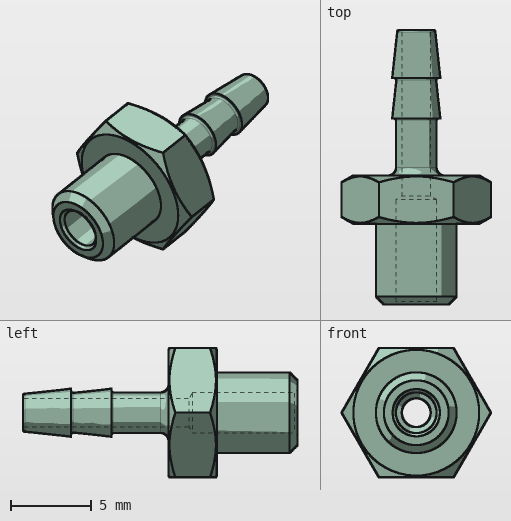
import cadquery as cq
import math

total_length = 17.0
spigot_length = 5.0
spigot_radius = 2.5
spigot_chamfer = 0.5
hex_thickness = 3.0
hex_across_flats = 8.0
hex_face_radius = 3.9
hex_chamfer_angle = 30.0
stem_radius = 1.25
stem_root_fillet = 0.5

barb_radius = 1.5
front_barb_length = 3.0
rear_barb_length = 2.5
barb_taper_angle = 6.2
barb_root_fillet = 0.1
tip_fillet = 0.17

passage_radius = 0.88
bore_radius = 1.25
bore_depth = 6.5
bore_chamfer = 0.2
drill_point_angle = 118.0

spigot_end = -total_length / 2
hex_back = spigot_end + spigot_length
hex_front = hex_back + hex_thickness
tip_end = total_length / 2
front_barb_back = tip_end - front_barb_length
rear_barb_back = front_barb_back - rear_barb_length

barb_taper = math.tan(math.radians(barb_taper_angle))
barb_neck_radius = barb_radius - (rear_barb_length - barb_root_fillet) * barb_taper


def revolve_about_y(profile):
    return profile.close().revolve(360, (0, 0, 0), (0, 1, 0))


def cylinder_along_y(radius, start, end):
    return revolve_about_y(
        cq.Workplane("XY").moveTo(0, start).lineTo(radius, start).lineTo(radius, end).lineTo(0, end)
    )


def make_spigot():
    spigot = cylinder_along_y(spigot_radius, spigot_end, hex_back)
    return spigot.faces("<Y").chamfer(spigot_chamfer)


def make_hex():
    """Hexagon with corners on X, cut back by a cone on both end faces."""
    corner_radius = hex_across_flats / 2 / math.cos(math.radians(30))
    chamfer_drop = (corner_radius - hex_face_radius) * math.tan(math.radians(hex_chamfer_angle))
    prism = (
        cq.Workplane("XZ", origin=(0, hex_front, 0))
        .polygon(6, 2 * corner_radius)
        .extrude(hex_thickness)
    )
    envelope = revolve_about_y(
        cq.Workplane("XY")
        .moveTo(0, hex_back)
        .lineTo(hex_face_radius, hex_back)
        .lineTo(corner_radius, hex_back + chamfer_drop)
        .lineTo(corner_radius, hex_front - chamfer_drop)
        .lineTo(hex_face_radius, hex_front)
        .lineTo(0, hex_front)
    )
    return prism.intersect(envelope)


def make_stem():
    """Plain stem that flares into the hexagon through a concave fillet."""
    return revolve_about_y(
        cq.Workplane("XY")
        .moveTo(0, hex_front)
        .lineTo(stem_radius + stem_root_fillet, hex_front)
        .radiusArc((stem_radius, hex_front + stem_root_fillet), stem_root_fillet)
        .lineTo(stem_radius, rear_barb_back)
        .lineTo(0, rear_barb_back)
    )


def make_barb(back, length, root_radius):
    """Cone that narrows toward the tip, with a small fillet behind its sharp edge."""
    small_radius = barb_radius - length * barb_taper
    cone = revolve_about_y(
        cq.Workplane("XY")
        .moveTo(0, back)
        .lineTo(barb_radius, back)
        .lineTo(small_radius, back + length)
        .lineTo(0, back + length)
    )
    root = revolve_about_y(
        cq.Workplane("XY")
        .moveTo(0, back)
        .lineTo(0, back - barb_root_fillet)
        .lineTo(root_radius, back - barb_root_fillet)
        .radiusArc((root_radius + barb_root_fillet, back), barb_root_fillet)
    )
    return cone, root


def make_passage():
    """Through hole with a wider drilled bore and a chamfered mouth at the spigot end."""
    bore_end = spigot_end + bore_depth
    point_length = (bore_radius - passage_radius) / math.tan(math.radians(drill_point_angle / 2))
    return revolve_about_y(
        cq.Workplane("XY")
        .moveTo(0, spigot_end)
        .lineTo(bore_radius + bore_chamfer, spigot_end)
        .lineTo(bore_radius, spigot_end + bore_chamfer)
        .lineTo(bore_radius, bore_end)
        .lineTo(passage_radius, bore_end + point_length)
        .lineTo(passage_radius, tip_end)
        .lineTo(0, tip_end)
    )


front_cone, front_root = make_barb(front_barb_back, front_barb_length, barb_neck_radius)
rear_cone, rear_root = make_barb(rear_barb_back, rear_barb_length, stem_radius)
front_cone = front_cone.faces(">Y").edges().fillet(tip_fillet)

result = make_spigot()
for piece in (make_hex(), make_stem(), rear_cone, rear_root, front_cone, front_root):
    result = result.union(piece)
result = result.cut(make_passage())